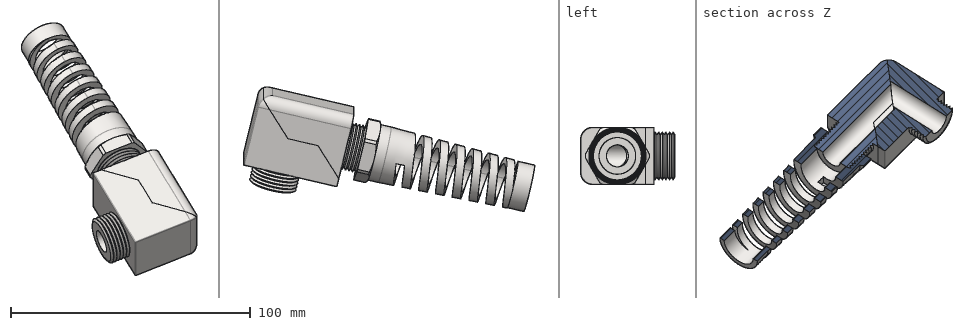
import cadquery as cq
import math

margin = 1.0


housing_length = 40.06
housing_width = 30.73
housing_height = 23.88
housing_x = 78.81
housing_end_x = housing_x + housing_length
half_width = housing_width / 2
back_radius = 5.08
edge_radius = 0.25

joint_side_offset = 11.8
joint_bend_x = housing_x + joint_side_offset
mitre_x = housing_end_x - half_width

thread_pitch = 1.5
thread_major_radius = 10.0
thread_minor_radius = 8.85
inlet_thread_count = 11
inlet_neck_length = inlet_thread_count * thread_pitch
inlet_bore_radius = 4.57
outlet_neck_length = 8.64
outlet_thread_count = math.ceil(outlet_neck_length / thread_pitch)
outlet_bore_radius = 4.8
outlet_axis_inset = 14.45
outlet_x = housing_end_x - outlet_axis_inset
outlet_end_y = -half_width - outlet_neck_length

collar_length = 7.11
collar_radius = 9.98
spring_start_radius = 10.15
sleeve_bore_radius = 7.65
skirt_x = 62.05
hex_x = 66.45
hex_length = 5.7
hex_across_flats = 23.88
skirt_radius = hex_across_flats / 2
hex_corner_radius = 13.38
hex_chamfer_length = 0.7

slot_pitch = 7.15
slot_turns = 7
slot_width = 3.6
slot_end_x = 55.27
slot_start_x = slot_end_x - slot_turns * slot_pitch
slot_inner_radius = sleeve_bore_radius - margin
slot_outer_radius = skirt_radius + margin


def cylinder_x(radius, start_x, end_x):
    """Cylinder on the gland axis."""
    plane = cq.Plane(origin=(start_x, 0, 0), xDir=(0, 0, 1), normal=(1, 0, 0))
    return cq.Workplane(plane).circle(radius).extrude(end_x - start_x)


def threaded_rod(count):
    """Rod along +X from the origin with a sharp V ridge per pitch, starting and ending at a root."""
    outline = cq.Workplane("XY").moveTo(0, 0).lineTo(0, thread_minor_radius)
    for ridge in range(count):
        outline = outline.lineTo((ridge + 0.5) * thread_pitch, thread_major_radius)
        outline = outline.lineTo((ridge + 1) * thread_pitch, thread_minor_radius)
    outline = outline.lineTo(count * thread_pitch, 0).close()
    return outline.revolve(360, (0, 0, 0), (1, 0, 0))


def make_block():
    """Housing block with its back edges well rounded and its remaining edges lightly eased."""
    block = cq.Workplane("XY").box(housing_length, housing_width, housing_height)
    block = block.translate((housing_x + housing_length / 2, 0, 0))
    block = block.edges("(>Y and |X) or (>Y and >X and |Z)").fillet(back_radius)
    return block.edges("<X or <Y or (>X and (>Z or <Z))").fillet(edge_radius)


def make_inlet_side():
    """Prism that covers the inlet half of the housing and its neck, bounded by the stepped joint."""
    neck_end_x = housing_x - inlet_neck_length
    return (
        cq.Workplane("XY", origin=(0, 0, -housing_height))
        .moveTo(neck_end_x - margin, -joint_side_offset)
        .lineTo(housing_x, -joint_side_offset)
        .lineTo(joint_bend_x, 0)
        .lineTo(mitre_x, 0)
        .lineTo(housing_end_x + margin, half_width + margin)
        .lineTo(neck_end_x - margin, half_width + margin)
        .close()
        .extrude(2 * housing_height)
    )


def make_bore():
    """Elbow passage: the inlet and outlet bores, both ending on the 45 degree mitre plane."""
    reach = 2 * outlet_bore_radius
    inlet_bore = cylinder_x(inlet_bore_radius, housing_x - inlet_neck_length, housing_end_x)
    outlet_bore = (
        cq.Workplane("XZ", origin=(outlet_x, reach, 0))
        .circle(outlet_bore_radius)
        .extrude(reach - outlet_end_y)
    )
    beyond_mitre = (
        cq.Workplane("XY", origin=(0, 0, -housing_height))
        .moveTo(mitre_x + outlet_end_y, outlet_end_y)
        .lineTo(mitre_x + housing_length, housing_length)
        .lineTo(mitre_x + housing_length, outlet_end_y)
        .close()
        .extrude(2 * housing_height)
    )
    return inlet_bore.cut(beyond_mitre).union(outlet_bore.intersect(beyond_mitre))


def make_inlet_neck():
    """Threaded neck that ends with a root at the housing face."""
    return threaded_rod(inlet_thread_count).translate((housing_x - inlet_neck_length, 0, 0))


def make_outlet_neck():
    """Threaded neck that starts with a root at its free end and stops at the housing face."""
    neck = threaded_rod(outlet_thread_count).intersect(
        cylinder_x(thread_major_radius + margin, 0, outlet_neck_length)
    )
    return neck.rotate((0, 0, 0), (0, 0, 1), 90).translate((outlet_x, outlet_end_y, 0))


def make_slot():
    """Right-handed helical slot; it ends below the axis, on the plane Y = 0."""
    path = cq.Wire.makeHelix(slot_pitch, slot_turns * slot_pitch, slot_outer_radius)
    section = (
        cq.Workplane("XZ")
        .center((slot_inner_radius + slot_outer_radius) / 2, 0)
        .rect(slot_outer_radius - slot_inner_radius, slot_width)
    )
    slot = section.sweep(cq.Workplane(path), isFrenet=True)
    return slot.rotate((0, 0, 0), (0, 1, 0), 90).translate((slot_start_x, 0, 0))


def make_hexagon():
    """Hexagon with flats facing +Z and -Z, rounded corners and a chamfer towards the spring."""
    across_corners = hex_across_flats / math.cos(math.pi / 6)
    hexagon = (
        cq.Workplane("YZ", origin=(hex_x, 0, 0))
        .polygon(6, across_corners)
        .extrude(hex_length)
    )
    envelope = (
        cq.Workplane("XY", origin=(hex_x, 0, 0))
        .lineTo(0, skirt_radius)
        .lineTo(hex_chamfer_length, hex_corner_radius)
        .lineTo(hex_length, hex_corner_radius)
        .lineTo(hex_length, 0)
        .close()
        .revolve(360, (0, 0, 0), (1, 0, 0))
    )
    return hexagon.intersect(envelope)


def make_strain_relief(inlet_neck):
    """Nut with an integral bend-protection spring, hollowed to take the inlet neck."""
    sleeve = (
        cq.Workplane("XZ")
        .moveTo(collar_length, 0)
        .lineTo(collar_length, spring_start_radius)
        .lineTo(skirt_x, skirt_radius)
        .lineTo(hex_x, skirt_radius)
        .lineTo(hex_x, 0)
        .close()
        .revolve(360, (0, 0, 0), (1, 0, 0))
    )
    spring = sleeve.cut(make_slot())
    collar = cylinder_x(collar_radius, 0, collar_length)
    relief = spring.union(collar).union(make_hexagon())
    bore = cylinder_x(sleeve_bore_radius, 0, housing_x - inlet_neck_length)
    return relief.cut(bore).cut(inlet_neck)


inlet_side = make_inlet_side()
inlet_neck = make_inlet_neck()
elbow = make_block().union(inlet_neck).union(make_outlet_neck()).cut(make_bore())

inlet_housing = elbow.intersect(inlet_side)
outlet_housing = elbow.cut(inlet_side)
strain_relief = make_strain_relief(inlet_neck)

bodies = [inlet_housing, outlet_housing, strain_relief]
result = cq.Compound.makeCompound([body.solids().val() for body in bodies])